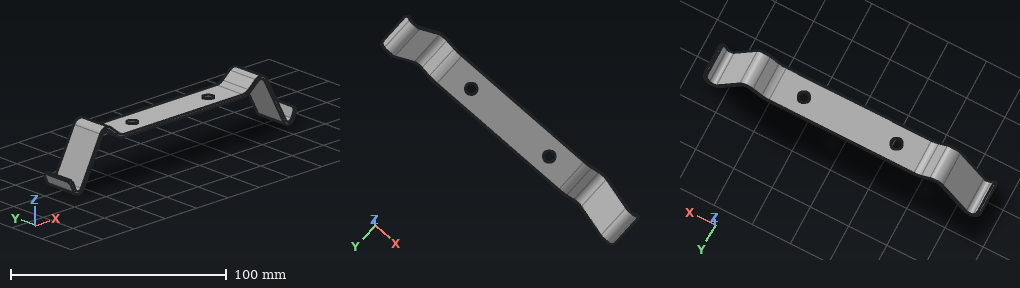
import cadquery as cq
import math

length = 144.7
width = 18.0
height = 28.6
thickness = 1.5

plate_top = 22.4
plate_half_length = 37.9
hole_diameter = 5.5
hole_spacing = 48.5

ramp_angle = 40.0
ramp_length = 6.0
ramp_radius = 6.7
arm_angle = 62.7
arm_length = 26.6
crest_radius = 3.8
foot_radius = 2.7
lip_angle = 68.0
lip_corner_chamfer = 1.3

half_thickness = thickness / 2


def direction(angle):
    """Unit vector at an angle in degrees above +X."""
    return cq.Vector(math.cos(math.radians(angle)), math.sin(math.radians(angle)))


def bend(start, heading, turn, radius):
    """Middle and end stations (point, heading) of one centreline bend."""
    side = math.copysign(1, turn)
    centre = start + direction(heading + 90) * (side * radius)
    middle_heading = heading + turn / 2
    end_heading = heading + turn
    middle = centre - direction(middle_heading + 90) * (side * radius)
    end = centre - direction(end_heading + 90) * (side * radius)
    return (middle, middle_heading), (end, end_heading)


def make_centreline():
    """Lines (one end station) and arcs (middle and end stations), from the plate outwards."""
    position = cq.Vector(plate_half_length, plate_top - half_thickness)
    heading = 0.0
    plate_end = (position, heading)
    segments = [(plate_end,)]
    crest_turn = -(ramp_angle + arm_angle)
    foot_turn = arm_angle + lip_angle
    bends = [
        (ramp_angle, ramp_radius, ramp_length),
        (crest_turn, crest_radius, arm_length),
    ]
    for turn, radius, straight in bends:
        arc = bend(position, heading, turn, radius)
        position, heading = arc[-1]
        segments.append(arc)
        position = position + direction(heading) * straight
        segments.append(((position, heading),))
    foot = bend(position, heading, foot_turn, foot_radius)
    segments.append(foot)
    position, heading = foot[-1]

    outer_corner_x = position.x + half_thickness * math.sin(math.radians(heading))
    lip_length = (length / 2 - outer_corner_x) / math.cos(math.radians(heading))
    segments.append(((position + direction(heading) * lip_length, heading),))
    return segments


def offset(station, distance):
    """Point beside a centreline station, positive to the left of travel."""
    point, heading = station
    return (point + direction(heading + 90) * distance).toTuple()[:2]


def draw_segment(sketch, points):
    """Draw an arc through two points, or a line to one."""
    if len(points) == 2:
        return sketch.threePointArc(*points)
    return sketch.lineTo(*points[0])


def make_half_strip(segments):
    """Right half of the bent strip, centred on Y."""
    plate_centre = (cq.Vector(0, plate_top - half_thickness), 0.0)
    sketch = cq.Workplane("XZ").moveTo(*offset(plate_centre, half_thickness))
    for segment in segments:
        sketch = draw_segment(sketch, [offset(s, half_thickness) for s in segment])

    sketch = sketch.lineTo(*offset(segments[-1][-1], -half_thickness))
    starts = [plate_centre] + [segment[-1] for segment in segments[:-1]]
    for start, segment in zip(reversed(starts), reversed(segments)):
        stations = list(segment[:-1]) + [start]
        sketch = draw_segment(sketch, [offset(s, -half_thickness) for s in stations])
    return sketch.close().extrude(width / 2, both=True)


def chamfer_lip(strip, lip_end):
    """Cut both corners at the free end of the lip."""
    point, heading = lip_end
    along_lip = direction(heading)
    across_lip = direction(heading + 90)
    lip_plane = cq.Plane(
        origin=(point.x, 0, point.y),
        xDir=(along_lip.x, 0, along_lip.y),
        normal=(across_lip.x, 0, across_lip.y),
    )
    for side in (-1, 1):
        corner = [
            (0, side * width / 2),
            (-lip_corner_chamfer, side * width / 2),
            (0, side * (width / 2 - lip_corner_chamfer)),
        ]
        cutter = cq.Workplane(lip_plane).polyline(corner).close().extrude(thickness, both=True)
        strip = strip.cut(cutter)
    return strip


centreline = make_centreline()
half_strip = chamfer_lip(make_half_strip(centreline), centreline[-1][-1])
strip = half_strip.union(half_strip.mirror("YZ")).clean()

holes = (
    cq.Workplane("XY")
    .pushPoints([(-hole_spacing / 2, 0), (hole_spacing / 2, 0)])
    .circle(hole_diameter / 2)
    .extrude(height)
)
result = strip.cut(holes)